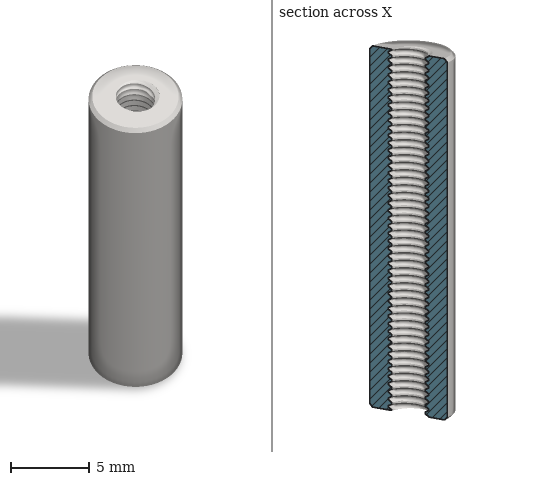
import cadquery as cq
import math

length = 24.0
outer_diameter = 6.0
edge_chamfer = 0.25

bore_diameter = 2.52
thread_root_diameter = 3.1
thread_turns = 48
thread_pitch = length / thread_turns
flank_half_angle = math.radians(30)
root_flat = thread_pitch / 8
start_angle = 90.0

bore_overlap = 0.02
end_overrun = thread_pitch


def make_body():
    """Solid cylinder standing on the XY plane, chamfered at both ends."""
    cylinder = cq.Workplane("XY").circle(outer_diameter / 2).extrude(length)
    return cylinder.faces("<Z or >Z").chamfer(edge_chamfer)


def make_bore():
    """Through hole that leaves the thread crests at the bore diameter."""
    return cq.Workplane("XY").circle(bore_diameter / 2).extrude(length)


def make_thread_cutter():
    """Right-handed helical groove with a trapezoidal 60 degree section."""
    inner_radius = bore_diameter / 2 - bore_overlap
    root_radius = thread_root_diameter / 2
    half_root = root_flat / 2
    half_mouth = half_root + (root_radius - inner_radius) * math.tan(flank_half_angle)

    helix = cq.Wire.makeHelix(thread_pitch, length + 2 * end_overrun, inner_radius)
    groove = (
        cq.Workplane("XZ")
        .moveTo(inner_radius, -half_mouth)
        .lineTo(root_radius, -half_root)
        .lineTo(root_radius, half_root)
        .lineTo(inner_radius, half_mouth)
        .close()
        .sweep(cq.Workplane(obj=helix), isFrenet=True)
    )
    return groove.rotate((0, 0, 0), (0, 0, 1), start_angle).translate((0, 0, -end_overrun))


result = make_body().cut(make_thread_cutter()).cut(make_bore())